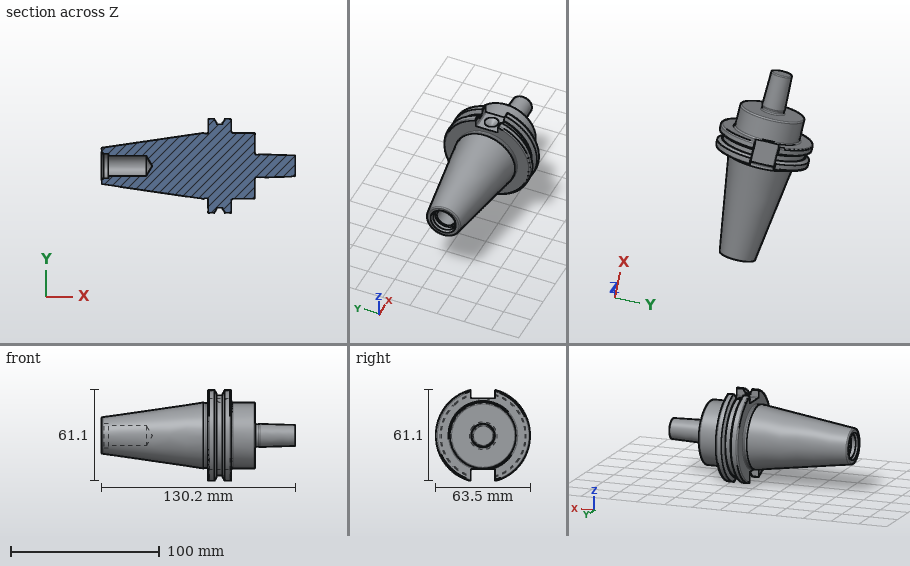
import math

import cadquery as cq

GAUGE_DIAMETER = 44.45
TAPER_LENGTH = 68.25
TAPER_RATIO = 7 / 24
SMALL_END_ROUND = 1.0
RELIEF_DIAMETER = 43.6
RELIEF_START = 1.9
RELIEF_ROUND = 0.55

FLANGE_START = 3.18
FLANGE_END = 19.05
FLANGE_DIAMETER = 63.5
FLANGE_ROUND = 1.0
GROOVE_ROOT_DIAMETER = 56.36
GROOVE_ROOT_WIDTH = 3.8
GROOVE_TOP_WIDTH = 7.1
GROOVE_HALF_ANGLE = 30.0
CUT_CLEARANCE = 1.0

BOSS_DIAMETER = 44.45
BOSS_END = 35.0
BOSS_ROUND = 1.0

SHANK_END = 61.98
NECK_DIAMETER = 15.25
NECK_ROUND = 0.8
NECK_END = BOSS_END + 2.0
SHANK_TAPER_START = BOSS_END + 3.1
SHANK_LARGE_DIAMETER = 15.85
SHANK_TAPER_RATIO = 0.0635
SHANK_END_ROUND = 0.7

SLOT_WIDTH = 16.1
TOP_SLOT_FLOOR = 25.0
BOTTOM_SLOT_FLOOR = 22.6
SLOT_EDGE_CHAMFER = 0.6
SLOT_CORNER_ROUND = 0.5
DIMPLE_DIAMETER = 9.53

MOUTH_DIAMETER = 18.6
MOUTH_DEPTH = 1.6
PILOT_DIAMETER = 16.3
PILOT_DEPTH = 4.7
THREAD_DIAMETER = 13.39
THREAD_DEPTH = 30.0
DRILL_POINT_ANGLE = 118.0


def cone_height(radius, half_angle):
    """Height of a cone of the given base radius and half angle."""
    return radius / math.tan(math.radians(half_angle))


def rounded_outline(corners):
    """Closed outline in the XY plane through (x, y, corner radius) triples."""
    outline = cq.Wire.makePolygon([cq.Vector(x, y, 0) for x, y, _ in corners], close=True)
    for x, y, corner_radius in corners:
        if corner_radius > 0:
            corner = cq.Workplane(outline).vertices(cq.selectors.NearestToPointSelector((x, y, 0)))
            outline = outline.fillet2D(corner_radius, [corner.val()])
    return outline


def turned_body():
    """Taper, flange blank, boss and shank as one revolved profile."""
    small_radius = (GAUGE_DIAMETER - TAPER_RATIO * TAPER_LENGTH) / 2
    shank_tip_radius = (SHANK_LARGE_DIAMETER - SHANK_TAPER_RATIO * (SHANK_END - SHANK_TAPER_START)) / 2
    relief_radius = RELIEF_DIAMETER / 2
    flange_radius = FLANGE_DIAMETER / 2
    boss_radius = BOSS_DIAMETER / 2
    neck_radius = NECK_DIAMETER / 2
    corners = [
        (-TAPER_LENGTH, 0, 0),
        (-TAPER_LENGTH, small_radius, SMALL_END_ROUND),
        (0, GAUGE_DIAMETER / 2, 0),
        (RELIEF_START, relief_radius, 0),
        (FLANGE_START, relief_radius, RELIEF_ROUND),
        (FLANGE_START, flange_radius, FLANGE_ROUND),
        (FLANGE_END, flange_radius, FLANGE_ROUND),
        (FLANGE_END, boss_radius, BOSS_ROUND),
        (BOSS_END, boss_radius, BOSS_ROUND),
        (BOSS_END, neck_radius, NECK_ROUND),
        (NECK_END, neck_radius, 0),
        (SHANK_TAPER_START, SHANK_LARGE_DIAMETER / 2, 0),
        (SHANK_END, shank_tip_radius, SHANK_END_ROUND),
        (SHANK_END, 0, 0),
    ]
    outline = rounded_outline(corners)
    return cq.Workplane(outline).toPending().revolve(360, (0, 0, 0), (1, 0, 0))


def grip_groove():
    """Ring with sloping upper flanks and straight lower walls."""
    middle = (FLANGE_START + FLANGE_END) / 2
    half_root = GROOVE_ROOT_WIDTH / 2
    half_top = GROOVE_TOP_WIDTH / 2
    root_radius = GROOVE_ROOT_DIAMETER / 2
    top_radius = FLANGE_DIAMETER / 2
    flank_radius = top_radius - cone_height(half_top - half_root, GROOVE_HALF_ANGLE)
    clear_radius = top_radius + CUT_CLEARANCE
    return (
        cq.Workplane("XY")
        .moveTo(middle - half_root, root_radius)
        .lineTo(middle - half_root, flank_radius)
        .lineTo(middle - half_top, top_radius)
        .lineTo(middle - half_top, clear_radius)
        .lineTo(middle + half_top, clear_radius)
        .lineTo(middle + half_top, top_radius)
        .lineTo(middle + half_root, flank_radius)
        .lineTo(middle + half_root, root_radius)
        .close()
        .revolve(360, (0, 0, 0), (1, 0, 0))
    )


def drive_slot(floor_height):
    """Slot cutter along X: rounded lower corners, flared at 45 degrees through the flange rim."""
    half_width = SLOT_WIDTH / 2
    rim_radius = FLANGE_DIAMETER / 2
    chamfered_half_width = half_width + SLOT_EDGE_CHAMFER
    rim_height = math.sqrt(rim_radius**2 - chamfered_half_width**2)
    flare_start = rim_height - SLOT_EDGE_CHAMFER
    flare_half_width = half_width + rim_radius - flare_start
    corners = [
        (-half_width, floor_height, SLOT_CORNER_ROUND),
        (half_width, floor_height, SLOT_CORNER_ROUND),
        (half_width, flare_start, 0),
        (flare_half_width, rim_radius, 0),
        (-flare_half_width, rim_radius, 0),
        (-half_width, flare_start, 0),
    ]
    outline = rounded_outline(corners)
    length = FLANGE_END + BOSS_ROUND - FLANGE_START
    cutter = cq.Workplane(outline).toPending().extrude(length)
    cutter = cutter.rotate((0, 0, 0), (1, 1, 1), 120)
    return cutter.translate((FLANGE_START, 0, 0))


def pull_stud_bore():
    """Countersunk pilot bore, smaller threaded bore and drill point."""
    mouth_radius = MOUTH_DIAMETER / 2
    pilot_radius = PILOT_DIAMETER / 2
    thread_radius = THREAD_DIAMETER / 2
    point_depth = THREAD_DEPTH + cone_height(thread_radius, DRILL_POINT_ANGLE / 2)
    return (
        cq.Workplane("XY")
        .lineTo(0, mouth_radius)
        .lineTo(MOUTH_DEPTH, pilot_radius)
        .lineTo(PILOT_DEPTH, pilot_radius)
        .lineTo(PILOT_DEPTH, thread_radius)
        .lineTo(THREAD_DEPTH, thread_radius)
        .lineTo(point_depth, 0)
        .close()
        .revolve(360, (0, 0, 0), (1, 0, 0))
        .translate((-TAPER_LENGTH, 0, 0))
    )


def slot_dimple():
    """Conical drill mark in the floor of the top slot."""
    radius = DIMPLE_DIAMETER / 2
    depth = cone_height(radius, DRILL_POINT_ANGLE / 2)
    middle = (FLANGE_START + FLANGE_END) / 2
    apex_down = cq.Solid.makeCone(radius, 0, depth, cq.Vector(middle, 0, TOP_SLOT_FLOOR), cq.Vector(0, 0, -1))
    return cq.Workplane(obj=apex_down)


top_slot = drive_slot(TOP_SLOT_FLOOR)
bottom_slot = drive_slot(BOTTOM_SLOT_FLOOR).rotate((0, 0, 0), (1, 0, 0), 180)
body = turned_body().cut(grip_groove()).cut(top_slot).cut(bottom_slot)
result = body.cut(pull_stud_bore()).cut(slot_dimple())